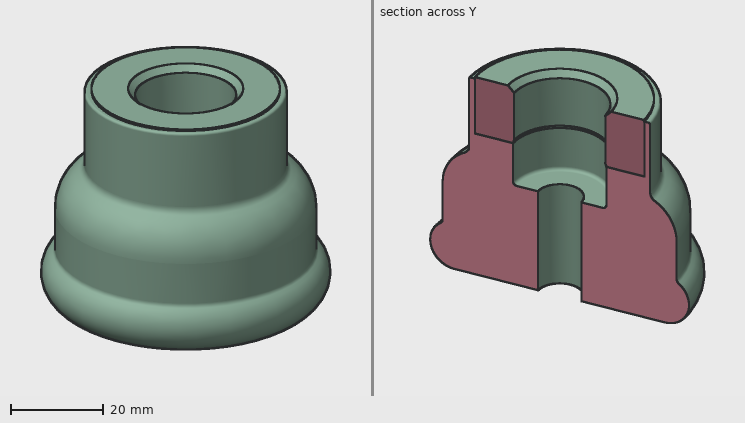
import cadquery as cq
import math

total_height = 50.0
insert_step = 0.4
rim_height = total_height - insert_step
dome_start = 21.4
insert_bottom = 35.75
bore_floor = 25.15

base_radius = 31.4
bulge_radius = 6.0
body_radius = 56.8 / 2
neck_radius = 44.0 / 2
dome_radius = 10.0
neck_fillet = 2.0
base_fillet = 1.2
rim_fillet = 0.55

through_radius = 10.5 / 2
lower_bore_radius = 22.5 / 2
floor_fillet = 0.8

insert_radius = 41.0 / 2
insert_bore_radius = 22.0 / 2
mouth_chamfer = 1.5
relief_height = 0.75


def point_towards(start, end, distance):
    """Point at a distance from start on the line to end."""
    share = distance / math.dist(start, end)
    return (start[0] + share * (end[0] - start[0]), start[1] + share * (end[1] - start[1]))


def arc_middle(center, start, end, radius):
    """Middle of the short arc from start to end about center."""
    chord_middle = ((start[0] + end[0]) / 2, (start[1] + end[1]) / 2)
    return point_towards(center, chord_middle, radius)


def blend_center(round_center, round_radius, wall_radius, fillet):
    """Center of a fillet that joins a vertical wall to the round below it."""
    across = wall_radius + fillet - round_center[0]
    rise = math.sqrt((round_radius + fillet) ** 2 - across**2)
    return (wall_radius + fillet, round_center[1] + rise)


def make_housing():
    """Bell-shaped housing with a round base, a stepped pocket and a through hole."""
    bulge_center = (base_radius - bulge_radius, bulge_radius)
    base_blend = blend_center(bulge_center, bulge_radius, body_radius, base_fillet)
    bulge_end = point_towards(bulge_center, base_blend, bulge_radius)
    body_start = (body_radius, base_blend[1])

    dome_center = (body_radius - dome_radius, dome_start)
    dome_bottom = (body_radius, dome_start)
    neck_blend = blend_center(dome_center, dome_radius, neck_radius, neck_fillet)
    dome_end = point_towards(dome_center, neck_blend, dome_radius)
    neck_start = (neck_radius, neck_blend[1])

    rim_center = (neck_radius - rim_fillet, rim_height - rim_fillet)
    rim_start = (neck_radius, rim_center[1])
    rim_end = (rim_center[0], rim_height)

    floor_center = (lower_bore_radius - floor_fillet, bore_floor + floor_fillet)
    floor_start = (lower_bore_radius, floor_center[1])
    floor_end = (floor_center[0], bore_floor)

    profile = (
        cq.Workplane("XZ")
        .moveTo(through_radius, 0)
        .lineTo(bulge_center[0], 0)
        .threePointArc((base_radius, bulge_radius), bulge_end)
        .threePointArc(arc_middle(base_blend, bulge_end, body_start, base_fillet), body_start)
        .lineTo(*dome_bottom)
        .threePointArc(arc_middle(dome_center, dome_bottom, dome_end, dome_radius), dome_end)
        .threePointArc(arc_middle(neck_blend, dome_end, neck_start, neck_fillet), neck_start)
        .lineTo(*rim_start)
        .threePointArc(arc_middle(rim_center, rim_start, rim_end, rim_fillet), rim_end)
        .lineTo(insert_radius, rim_height)
        .lineTo(insert_radius, insert_bottom)
        .lineTo(lower_bore_radius, insert_bottom)
        .lineTo(*floor_start)
        .threePointArc(arc_middle(floor_center, floor_start, floor_end, floor_fillet), floor_end)
        .lineTo(through_radius, bore_floor)
        .close()
    )
    return profile.revolve(360, (0, 0, 0), (0, 1, 0))


def make_insert():
    """Ring seated in the housing pocket, with a chamfered mouth and a relieved lower edge."""
    profile = (
        cq.Workplane("XZ")
        .moveTo(lower_bore_radius, insert_bottom)
        .lineTo(insert_radius, insert_bottom)
        .lineTo(insert_radius, total_height)
        .lineTo(insert_bore_radius + mouth_chamfer, total_height)
        .lineTo(insert_bore_radius, total_height - mouth_chamfer)
        .lineTo(insert_bore_radius, insert_bottom + relief_height)
        .close()
    )
    return profile.revolve(360, (0, 0, 0), (0, 1, 0))


housing = make_housing()
insert = make_insert()

result = cq.Compound.makeCompound([housing.val(), insert.val()])